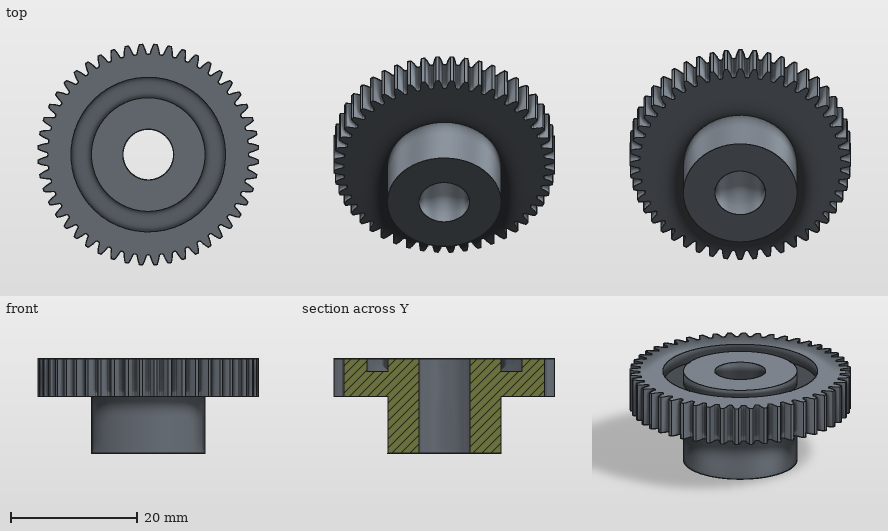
import cadquery as cq
import math

tooth_count = 48
module = 0.7
pressure_angle = math.radians(20)
dedendum = 1.25 * module
root_fillet = 0.28
rim_height = 6.0
outer_size = 34.95

total_height = 15.0
hub_diameter = 18.0
bore_diameter = 8.0
recess_diameter = 24.5
recess_depth = 2.0

pitch_radius = module * tooth_count / 2
base_radius = pitch_radius * math.cos(pressure_angle)
root_radius = pitch_radius - dedendum
tooth_pitch = 2 * math.pi / tooth_count
hub_length = total_height - rim_height


def involute(angle):
    """Polar angle swept by an involute where its pressure angle is `angle`."""
    return math.tan(angle) - angle


def tooth_half_angle(radius):
    """Half of the angle that a tooth spans at the given radius."""
    local_pressure_angle = math.acos(base_radius / radius)
    return tooth_pitch / 4 + involute(pressure_angle) - involute(local_pressure_angle)


nominal_tip_radius = pitch_radius + module
corner_angle = tooth_pitch / 2 - tooth_half_angle(nominal_tip_radius)
tip_radius = outer_size / 2 / math.cos(corner_angle)
flank_mid_radius = (root_radius + tip_radius) / 2


def polar(radius, angle):
    """XY point at a polar radius and angle."""
    return (radius * math.cos(angle), radius * math.sin(angle))


def make_rim():
    """Toothed disc standing on the XY plane, with rounded tooth roots."""
    root_half = tooth_half_angle(root_radius)
    mid_half = tooth_half_angle(flank_mid_radius)
    tip_half = tooth_half_angle(tip_radius)

    outline = cq.Workplane("XY").moveTo(*polar(root_radius, tooth_pitch / 2 - root_half))
    for tooth in range(tooth_count):
        center = (tooth + 0.5) * tooth_pitch
        next_gap = center + tooth_pitch / 2
        next_root = center + tooth_pitch - root_half

        rising_middle = polar(flank_mid_radius, center - mid_half)
        falling_middle = polar(flank_mid_radius, center + mid_half)

        outline = outline.threePointArc(rising_middle, polar(tip_radius, center - tip_half))
        outline = outline.threePointArc(polar(tip_radius, center), polar(tip_radius, center + tip_half))
        outline = outline.threePointArc(falling_middle, polar(root_radius, center + root_half))
        outline = outline.threePointArc(polar(root_radius, next_gap), polar(root_radius, next_root))
    rim = outline.close().extrude(rim_height)

    root_edges = [
        edge for edge in rim.edges("|Z").vals()
        if math.hypot(edge.Center().x, edge.Center().y) < flank_mid_radius
    ]
    return rim.newObject(root_edges).fillet(root_fillet)


def make_hub():
    """Cylinder below the rim."""
    return cq.Workplane("XY").circle(hub_diameter / 2).extrude(-hub_length)


def make_recess():
    """Ring sunk into the top face around the hub's upper end."""
    return (
        cq.Workplane("XY", origin=(0, 0, rim_height))
        .circle(recess_diameter / 2)
        .circle(hub_diameter / 2)
        .extrude(-recess_depth)
    )


def make_bore():
    """Through hole along the axis."""
    return (
        cq.Workplane("XY", origin=(0, 0, -hub_length))
        .circle(bore_diameter / 2)
        .extrude(total_height)
    )


result = make_rim().union(make_hub()).cut(make_recess()).cut(make_bore())